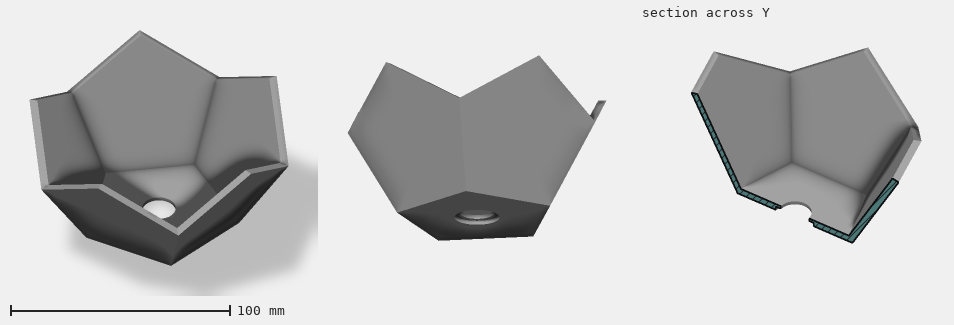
import cadquery as cq
import math

outer_width = 120.0
floor_thickness = 3.7
hole_diameter = 15.2
recess_diameter = 20.6
recess_depth = 1.9

SIDES = 5
golden = (1 + math.sqrt(5)) / 2
rim_radius = outer_width / 2
floor_radius = rim_radius / golden
valley_height = floor_radius
tip_height = rim_radius

inner_scale = 1 - floor_thickness / tip_height


def corner_ring(radius, height, start_angle, scale):
    """Five evenly spaced corners, scaled about the middle of the mouth."""
    z = tip_height + scale * (height - tip_height)
    corners = []
    for i in range(SIDES):
        angle = math.radians(start_angle + i * 360 / SIDES)
        corners.append(cq.Vector(scale * radius * math.cos(angle), scale * radius * math.sin(angle), z))
    return corners


def polygon_face(corners):
    return cq.Face.makeFromWires(cq.Wire.makePolygon(corners, close=True))


def skin(scale):
    """The floor and five walls, plus the zigzag of corners along the rim."""
    floor = corner_ring(floor_radius, 0, 90, scale)
    valleys = corner_ring(rim_radius, valley_height, 90, scale)
    tips = corner_ring(rim_radius, tip_height, 90 + 180 / SIDES, scale)
    faces = [polygon_face(floor)]
    rim = []
    for i in range(SIDES):
        j = (i + 1) % SIDES
        faces.append(polygon_face([floor[i], floor[j], valleys[j], tips[i], valleys[i]]))
        rim += [valleys[i], tips[i]]
    return faces, rim


def bowl():
    outer_faces, outer_rim = skin(1)
    inner_faces, inner_rim = skin(inner_scale)
    rim_faces = []
    for i in range(len(outer_rim)):
        j = (i + 1) % len(outer_rim)
        rim_faces.append(polygon_face([outer_rim[i], outer_rim[j], inner_rim[j], inner_rim[i]]))
    shell = cq.Shell.makeShell(outer_faces + inner_faces + rim_faces)
    return cq.Workplane(obj=cq.Solid.makeSolid(shell))


drain = cq.Workplane("XY").circle(hole_diameter / 2).extrude(floor_thickness)
recess = cq.Workplane("XY").circle(recess_diameter / 2).extrude(recess_depth)

result = cq.Workplane(obj=bowl().cut(drain).cut(recess).solids().val())